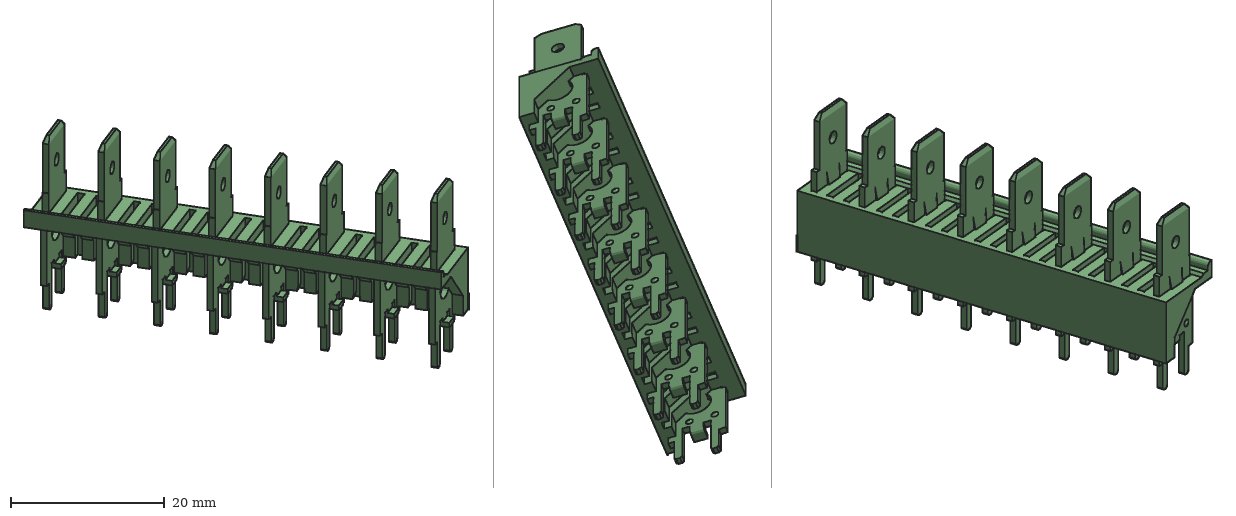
import cadquery as cq

TERMINAL_COUNT = 8
ROW_LENGTH = 53.3
ROW_MIDDLE_X = 0.05
PITCH = ROW_LENGTH / (TERMINAL_COUNT - 1)
LOOSE_SHIFT = -0.2
THICKNESS = 0.85

OVERALL_LENGTH = 57.45
HOUSING_LENGTH = 57.3
BACK_Y = 4.75
DEPTH = 10.9
FRONT_Y = BACK_Y - DEPTH
HOUSING_TOP = 8.95
LIP_UNDERSIDE = 7.95
FOOT_DEPTH = 2.05
FOOT_HEIGHT = 2.95
SLANT_END_Y = -2.2
RAMP_START_Y = -3.7
SHELF_Y = -4.2
SHELF_Z = 9.3
LIP_TOP = 10.4
LIP_THICKNESS = 1.0
LIP_ROUND = 0.65

SLOT_WIDTH = 0.85
SLOT_SPACING = 2.45
SLOT_BACK_Y = BACK_Y - 1.05
WIDE_SLOT_EXTRA = 0.1
SLOT_FLARE = 0.2
SLOT_FLARE_HEIGHT = 0.7

NUB_LENGTH = OVERALL_LENGTH - HOUSING_LENGTH
NUB_HEIGHT = 2.3
NUB_THICKNESS = 0.1

BLADE_HALF_WIDTH = 3.2
BLADE_TOP = 19.8
BLADE_CHAMFER = 0.85
TIP_BEVEL = 0.25
SHOULDER_TOP = 11.9
SHOULDER_BOTTOM = -1.2
SHOULDER_SLOPE = 0.1
REAR_SHOULDER_Y = 3.9
FRONT_SHOULDER_Y = -3.35
FRONT_FLANK_Y = -4.0
FRONT_FLANK_TOP = 7.65
LEG_HALF_SPACING = 2.5
LEG_WIDTH = 1.1
LEG_HALF_WIDTH = LEG_WIDTH / 2
LEG_BOTTOM = -5.2
LEG_TIP_CHAMFER = 0.3
CROTCH_Z = 1.2

BLADE_HOLE_DIAMETER = 1.65
BLADE_HOLE_Z = 15.3
WINDOW_DIAMETER = 4.0
WINDOW_Z = 5.8
TAB_WIDTH = 1.9
TAB_HEIGHT = 0.7
TAB_REACH = 0.9
BARB_TOP = 10.85
BARB_TOP_WIDTH = 3.0
BARB_BOTTOM_WIDTH = 2.6
BARB_REACH = 0.25
BUMP_DIAMETER = 1.0
BUMP_TIP_DIAMETER = 0.1
BUMP_HEIGHT = 0.3
BUMP_Z = 2.3
BUMP_YS = (1.0, -LEG_HALF_SPACING)


def box(x_range, y_range, z_range):
    """Axis-aligned box from its limits."""
    lows, highs = zip(x_range, y_range, z_range)
    sizes = [high - low for low, high in zip(lows, highs)]
    return cq.Workplane("XY").box(*sizes, centered=False).translate(lows)


def terminal_x(index):
    return ROW_MIDDLE_X - ROW_LENGTH / 2 + index * PITCH


def terminal_plate():
    """Flat sheet outline with the blade on top and two legs below."""
    leg_outer = LEG_HALF_SPACING + LEG_HALF_WIDTH
    leg_inner = LEG_HALF_SPACING - LEG_HALF_WIDTH
    outline = [
        (-BLADE_HALF_WIDTH, BLADE_TOP),
        (BLADE_HALF_WIDTH, BLADE_TOP),
        (BLADE_HALF_WIDTH, SHOULDER_TOP),
        (REAR_SHOULDER_Y, SHOULDER_TOP),
        (REAR_SHOULDER_Y, SHOULDER_BOTTOM),
        (leg_outer, SHOULDER_BOTTOM),
        (leg_outer, LEG_BOTTOM),
        (leg_inner, LEG_BOTTOM),
        (leg_inner, CROTCH_Z),
        (-leg_inner, CROTCH_Z),
        (-leg_inner, LEG_BOTTOM),
        (-leg_outer, LEG_BOTTOM),
        (-leg_outer, SHOULDER_BOTTOM - SHOULDER_SLOPE),
        (FRONT_FLANK_Y, SHOULDER_BOTTOM),
        (FRONT_FLANK_Y, FRONT_FLANK_TOP),
        (FRONT_SHOULDER_Y, LIP_UNDERSIDE),
        (FRONT_SHOULDER_Y, SHOULDER_TOP),
        (-BLADE_HALF_WIDTH, SHOULDER_TOP),
    ]
    plate = cq.Workplane("YZ").polyline(outline).close().extrude(THICKNESS / 2, both=True)
    plate = plate.faces("<Z").edges("|X").chamfer(LEG_TIP_CHAMFER)
    return plate.faces(">Z").edges("|X").chamfer(BLADE_CHAMFER)


def bevelled_tip_envelope():
    """Cross-section of a terminal with both faces bevelled towards the blade tip."""
    half = THICKNESS / 2
    tip_half = half - TIP_BEVEL
    bevel_start = BLADE_TOP - BLADE_CHAMFER
    section = [
        (-half, LEG_BOTTOM),
        (half, LEG_BOTTOM),
        (half, bevel_start),
        (tip_half, BLADE_TOP),
        (-tip_half, BLADE_TOP),
        (-half, bevel_start),
    ]
    return cq.Workplane("XZ").polyline(section).close().extrude(DEPTH, both=True)


def terminal_holes():
    """Round hole in the blade and the larger window above the legs."""
    small = cq.Workplane("YZ").center(0, BLADE_HOLE_Z).circle(BLADE_HOLE_DIAMETER / 2)
    large = cq.Workplane("YZ").center(0, WINDOW_Z).circle(WINDOW_DIAMETER / 2)
    return small.extrude(THICKNESS, both=True).union(large.extrude(THICKNESS, both=True))


def bent_tab():
    """Tongue between the legs, bent towards +X around a rounded heel."""
    half = THICKNESS / 2
    tongue = (
        cq.Workplane("XZ")
        .moveTo(-half, CROTCH_Z)
        .lineTo(-half, TAB_HEIGHT)
        .radiusArc((TAB_HEIGHT - half, 0), -TAB_HEIGHT)
        .lineTo(half + TAB_REACH, 0)
        .lineTo(half + TAB_REACH, TAB_HEIGHT)
        .lineTo(half, TAB_HEIGHT)
        .lineTo(half, CROTCH_Z)
        .close()
    )
    return tongue.extrude(TAB_WIDTH / 2, both=True)


def barb():
    """Wedge on the -X face that flares out down to the housing top."""
    half = THICKNESS / 2
    profile = [
        (-half, BARB_TOP),
        (-half - BARB_REACH, HOUSING_TOP),
        (-half, HOUSING_TOP),
    ]
    wedge = cq.Workplane("XZ").polyline(profile).close().extrude(BARB_TOP_WIDTH / 2, both=True)
    front_shape = [
        (-BARB_TOP_WIDTH / 2, BARB_TOP),
        (BARB_TOP_WIDTH / 2, BARB_TOP),
        (BARB_BOTTOM_WIDTH / 2, HOUSING_TOP),
        (-BARB_BOTTOM_WIDTH / 2, HOUSING_TOP),
    ]
    taper = cq.Workplane("YZ").polyline(front_shape).close().extrude(2 * THICKNESS, both=True)
    return wedge.intersect(taper)


def bump(y):
    """Small blunt cone on the -X face."""
    cone = cq.Solid.makeCone(
        BUMP_DIAMETER / 2,
        BUMP_TIP_DIAMETER / 2,
        BUMP_HEIGHT,
        cq.Vector(-THICKNESS / 2, y, BUMP_Z),
        cq.Vector(-1, 0, 0),
    )
    return cq.Workplane(cone)


def make_terminal(index, y_shift=0.0):
    terminal = terminal_plate().intersect(bevelled_tip_envelope()).cut(terminal_holes())
    terminal = terminal.union(bent_tab()).union(barb())
    for y in BUMP_YS:
        terminal = terminal.union(bump(y))
    return terminal.translate((terminal_x(index), y_shift, 0))


def housing_profile():
    """Constant section: rear wall, slanted underside and front lip."""
    lip_back_y = FRONT_Y + LIP_THICKNESS
    section = [
        (BACK_Y, 0),
        (BACK_Y, HOUSING_TOP),
        (RAMP_START_Y, HOUSING_TOP),
        (SHELF_Y, SHELF_Z),
        (lip_back_y, SHELF_Z),
        (lip_back_y, LIP_TOP),
        (FRONT_Y, LIP_TOP),
        (FRONT_Y, LIP_UNDERSIDE),
        (SLANT_END_Y, LIP_UNDERSIDE),
        (BACK_Y - FOOT_DEPTH, FOOT_HEIGHT),
        (BACK_Y - FOOT_DEPTH, 0),
    ]
    body = cq.Workplane("YZ").polyline(section).close().extrude(HOUSING_LENGTH / 2, both=True)
    return body.faces(">Z").edges(">Y").fillet(LIP_ROUND)


def slot(center_x, side, outermost):
    """One through slot; `side` is the X direction of the terminal next to it."""
    inner_x = center_x - side * SLOT_WIDTH / 2
    outer_x = center_x + side * SLOT_WIDTH / 2
    if outermost:
        outer_x += side * WIDE_SLOT_EXTRA
    section = [(inner_x, 0), (inner_x, HOUSING_TOP), (outer_x, HOUSING_TOP)]
    if outermost:
        section += [(outer_x, 0)]
    else:
        section += [(outer_x, SLOT_FLARE_HEIGHT), (outer_x + side * SLOT_FLARE, 0)]
    cutter = cq.Workplane("XZ").polyline(section).close().extrude(SLOT_BACK_Y - RAMP_START_Y)
    return cutter.translate((0, SLOT_BACK_Y, 0))


def terminal_gap(index):
    """Opening in the housing top, from the front shoulder of a terminal to the ramp."""
    x = terminal_x(index)
    return box(
        (x - THICKNESS / 2, x + THICKNESS / 2),
        (RAMP_START_Y, FRONT_SHOULDER_Y),
        (LIP_UNDERSIDE, HOUSING_TOP),
    )


def end_nub():
    """Thin strip at the foot of the rear wall that extends the +X end."""
    end_x = HOUSING_LENGTH / 2
    return box((end_x, end_x + NUB_LENGTH), (BACK_Y - NUB_THICKNESS, BACK_Y), (0, NUB_HEIGHT))


def make_housing():
    housing = housing_profile().union(end_nub())
    for gap in range(TERMINAL_COUNT - 1):
        gap_x = terminal_x(gap) + PITCH / 2
        for side in (-1, 1):
            outermost = (gap == 0 and side == -1) or (gap == TERMINAL_COUNT - 2 and side == 1)
            housing = housing.cut(slot(gap_x + side * SLOT_SPACING / 2, side, outermost))
    for index in range(TERMINAL_COUNT):
        housing = housing.cut(terminal_gap(index))
    return housing


last = TERMINAL_COUNT - 1
loose_terminal = make_terminal(last, LOOSE_SHIFT)
moulded_row = make_housing()
for index in range(last):
    moulded_row = moulded_row.union(make_terminal(index))
moulded_row = moulded_row.cut(loose_terminal)

result = cq.Compound.makeCompound([moulded_row.val(), loose_terminal.val()])